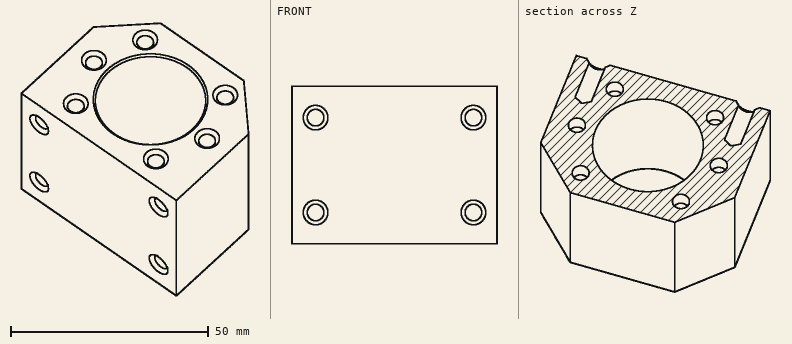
import cadquery as cq
import math

WIDTH = 52.0
DEPTH = 40.0
HEIGHT = 40.0
CORNER_CUT = 12.0

BORE_DIAMETER = 28.0
BORE_CHAMFER = 0.5

HOLE_DIAMETER = 4.2
HOLE_MOUTH_DIAMETER = 6.25
HOLE_DEPTH = 12.0
COUNTERSINK_ANGLE = 90.0
DRILL_POINT_ANGLE = 118.0

TOP_CIRCLE_RADIUS = 19.0
TOP_HOLE_ANGLES = (0, 45, 135, 180, 225, 315)
FRONT_SPACING_X = 40.0
FRONT_SPACING_Z = 24.0


def make_block():
    """Rectangular block with both rear vertical edges cut at 45 degrees."""
    block = cq.Workplane("XY").box(WIDTH, DEPTH, HEIGHT, centered=(True, True, False))
    return block.edges("|Z and >Y").chamfer(CORNER_CUT)


def make_bore():
    """Cutter for the through bore, flared at the top to chamfer its rim."""
    radius = BORE_DIAMETER / 2
    profile = [
        (0, 0),
        (radius, 0),
        (radius, HEIGHT - BORE_CHAMFER),
        (radius + BORE_CHAMFER, HEIGHT),
        (0, HEIGHT),
    ]
    return cq.Workplane("XZ").polyline(profile).close().revolve(360, (0, 0), (0, 1))


def make_blind_hole():
    """Cutter for one blind hole: mouth at the origin, drilled toward -Z."""
    radius = HOLE_DIAMETER / 2
    mouth_radius = HOLE_MOUTH_DIAMETER / 2
    countersink_depth = (mouth_radius - radius) / math.tan(math.radians(COUNTERSINK_ANGLE / 2))
    point_length = radius / math.tan(math.radians(DRILL_POINT_ANGLE / 2))
    profile = [
        (0, 0),
        (mouth_radius, 0),
        (radius, -countersink_depth),
        (radius, -HOLE_DEPTH),
        (0, -HOLE_DEPTH - point_length),
    ]
    return cq.Workplane("XZ").polyline(profile).close().revolve(360, (0, 0), (0, 1))


result = make_block().cut(make_bore())

top_hole = make_blind_hole()
for angle in TOP_HOLE_ANGLES:
    x = TOP_CIRCLE_RADIUS * math.cos(math.radians(angle))
    y = TOP_CIRCLE_RADIUS * math.sin(math.radians(angle))
    result = result.cut(top_hole.translate((x, y, HEIGHT)))

front_hole = make_blind_hole().rotate((0, 0, 0), (1, 0, 0), 90)
for side_x in (-1, 1):
    for side_z in (-1, 1):
        x = side_x * FRONT_SPACING_X / 2
        z = HEIGHT / 2 + side_z * FRONT_SPACING_Z / 2
        result = result.cut(front_hole.translate((x, -DEPTH / 2, z)))